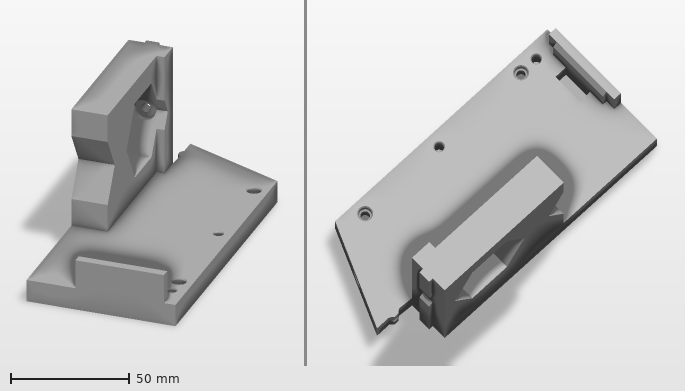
import cadquery as cq
import math

width = 67.0
length = 143.6
base_thickness = 10.0
wall_end_y = 123.6
rail_face_x = 20.0
rear_edge_x = 20.4

key_center_y = 133.7
key_root_width = 5.6
key_tip_width = 2.3
key_height = 1.5
key_hole_diameter = 3.5

wall_top = 65.0
wall_thickness = 16.4
wall_front_y = 54.3
thick_end_length = 10.0

hexagon_across_flats = 35.0
hexagon_pitch = 54.7
hexagon_center_y = 97.4
hexagon_center_z = (base_thickness + wall_top) / 2

tab_center_x = 10.2
tab_width = 5.9
tab_height = 2.2
gap_root_width = 8.9
gap_tip_width = gap_root_width + 2 * tab_height
screw_diameter = 4.3
screw_head_diameter = 9.6
screw_seat_y = 117.8

lip_center_x = 42.0
lip_width = 39.9
lip_thickness = 4.0
lip_top = 23.3
ridge_drop = 0.3
ridge_width = 30.5
ridge_depth = 2.0
ridge_slope_height = 2.6
ridge_top = lip_top - ridge_drop
window_width = 15.0
window_depth = 6.0

edge_hole_x = width - 6.3
through_hole_positions = (12.5, 69.0)
through_hole_diameter = 4.0
blind_hole_positions = (21.4, 112.2)
blind_hole_diameter = 5.9
blind_hole_depth = 2.9
blind_hole_tip_diameter = 4.0
blind_hole_tip_depth = 8.0
hole_chamfer_width = 0.5
hole_chamfer_depth = 0.7


def box(x_start, x_end, y_start, y_end, z_start, z_end):
    size = (x_end - x_start, y_end - y_start, z_end - z_start)
    return cq.Workplane("XY").box(*size, centered=False).translate((x_start, y_start, z_start))


def centered_box(center_x, x_width, y_start, y_end, z_start, z_end):
    half = x_width / 2
    return box(center_x - half, center_x + half, y_start, y_end, z_start, z_end)


def base_plate():
    outline = [
        (0, 0),
        (width, 0),
        (width, wall_end_y),
        (rear_edge_x, length),
        (rear_edge_x, key_center_y + key_root_width / 2),
        (rear_edge_x - key_height, key_center_y + key_tip_width / 2),
        (rear_edge_x - key_height, key_center_y - key_tip_width / 2),
        (rear_edge_x, key_center_y - key_root_width / 2),
        (rail_face_x, wall_end_y),
        (0, wall_end_y),
    ]
    return cq.Workplane("XY").polyline(outline).close().extrude(base_thickness)


def key_hole():
    plane = cq.Workplane("YZ").center(key_center_y, base_thickness / 2)
    return plane.circle(key_hole_diameter / 2).extrude(width)


def hexagon_cutter(center_y):
    across_corners = hexagon_across_flats / math.cos(math.pi / 6)
    plane = cq.Workplane("YZ").center(center_y, hexagon_center_z)
    return plane.polygon(6, across_corners).extrude(rail_face_x)


def wall():
    body = box(0, wall_thickness, wall_front_y, wall_end_y, 0, wall_top)
    thick_end = box(0, rail_face_x, wall_end_y - thick_end_length, wall_end_y, 0, wall_top)
    return body.union(thick_end).union(tab())


def tab():
    tip_y = wall_end_y + tab_height
    strip = centered_box(tab_center_x, tab_width, wall_end_y, tip_y, 0, wall_top)
    gap_outline = [
        (wall_end_y, hexagon_center_z - gap_root_width / 2),
        (tip_y, hexagon_center_z - gap_tip_width / 2),
        (tip_y, hexagon_center_z + gap_tip_width / 2),
        (wall_end_y, hexagon_center_z + gap_root_width / 2),
    ]
    gap = cq.Workplane("YZ").polyline(gap_outline).close().extrude(rail_face_x)
    return strip.cut(gap)


def y_cylinder(diameter, y_start, y_end):
    circle = cq.Workplane("XZ").center(tab_center_x, hexagon_center_z).circle(diameter / 2)
    return circle.extrude(y_start - y_end).translate((0, y_start, 0))


def wall_screw_hole():
    shank = y_cylinder(screw_diameter, hexagon_center_y, wall_end_y)
    head = y_cylinder(screw_head_diameter, hexagon_center_y, screw_seat_y)
    return shank.union(head)


def lip():
    body = centered_box(lip_center_x, lip_width, 0, lip_thickness, 0, lip_top)
    ridge_back_y = lip_thickness + ridge_depth
    ridge_outline = [
        (0, 0),
        (ridge_back_y, 0),
        (ridge_back_y, ridge_top - ridge_slope_height),
        (lip_thickness, ridge_top),
        (0, ridge_top),
    ]
    ridge = cq.Workplane("YZ").polyline(ridge_outline).close().extrude(ridge_width)
    return body.union(ridge.translate((lip_center_x - ridge_width / 2, 0, 0)))


def window():
    start_y = lip_thickness + ridge_depth
    return centered_box(lip_center_x, window_width, start_y, start_y + window_depth, 0, base_thickness)


def edge_hole(y, diameter, depth):
    """Hole down from the top of the plate with a chamfered mouth."""
    mouth = cq.Workplane("XY", origin=(edge_hole_x, y, base_thickness))
    bore = mouth.circle(diameter / 2).extrude(-depth)
    rim = mouth.circle(diameter / 2 + hole_chamfer_width)
    chamfer = rim.workplane(offset=-hole_chamfer_depth).circle(diameter / 2).loft(ruled=True)
    return bore.union(chamfer)


def stepped_blind_hole(y):
    tip = edge_hole(y, blind_hole_tip_diameter, blind_hole_tip_depth)
    return tip.union(edge_hole(y, blind_hole_diameter, blind_hole_depth))


result = base_plate().union(wall()).union(lip())
for center_y in (hexagon_center_y, hexagon_center_y - hexagon_pitch):
    result = result.cut(hexagon_cutter(center_y))
result = result.cut(wall_screw_hole()).cut(key_hole()).cut(window())
for y in through_hole_positions:
    result = result.cut(edge_hole(y, through_hole_diameter, base_thickness))
for y in blind_hole_positions:
    result = result.cut(stepped_blind_hole(y))